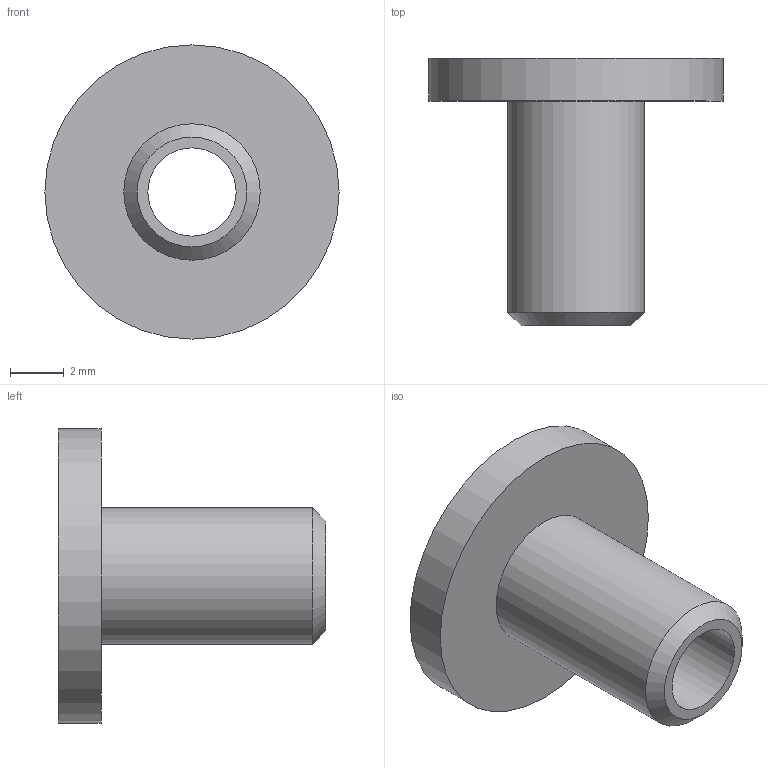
import cadquery as cq

flange_diameter = 11.0
flange_thickness = 1.6
sleeve_diameter = 5.1
bore_diameter = 3.3
total_length = 10.0
tip_chamfer = 0.5

sleeve_length = total_length - flange_thickness


def cylinder_along_y(diameter, y_start, length):
    """Solid cylinder on the Y axis, running from y_start toward +Y."""
    start_point = cq.Vector(0, y_start, 0)
    direction = cq.Vector(0, 1, 0)
    return cq.Workplane(cq.Solid.makeCylinder(diameter / 2, length, start_point, direction))


flange = cylinder_along_y(flange_diameter, 0, flange_thickness)

sleeve = cylinder_along_y(sleeve_diameter, -sleeve_length, sleeve_length)
sleeve = sleeve.faces("<Y").chamfer(tip_chamfer)

bore = cylinder_along_y(bore_diameter, -sleeve_length, total_length)

result = flange.union(sleeve).cut(bore)